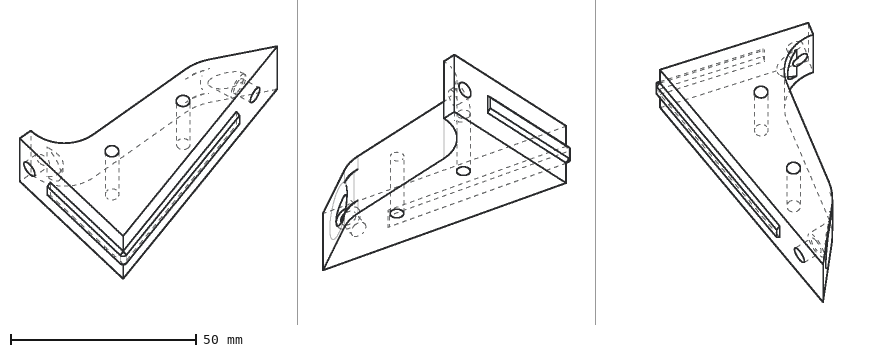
import cadquery as cq
import math

thickness = 20.0
base_length = 42.7
rib_height = 1.0
apex_x = 22.45
apex_y = 73.6 - rib_height
foot_height = 4.0
cove_radius = 12.0
wall_x = cove_radius
tip_angle = 27.5
bend_radius = 15.0
inner_bend_radius = 8.8
inner_bend_width = 10.9

rib_width = 6.0
rib_start_x = 12.7
rib_top_y = 53.3

cross_hole_diameter = 3.7
cross_hole_x = 19.5
cross_hole_heights = (16.05, 41.45)
screw_diameter = 4.6
foot_hole_x = 4.05

foot_seat_y = 5.15
foot_dome_radius = 7.9
foot_dome_center_y = 1.6

seat_radius = 3.7
seat_x = 20.1
seat_y = 60.6
dish_center_y = 60.4
dish_radius = 7.9
dish_depth = 1.2

tip_slope = math.tan(math.radians(tip_angle))
bend_y = apex_y - (apex_x - wall_x) / tip_slope
front_length = math.hypot(base_length - apex_x, apex_y)
front_angle = math.degrees(math.atan2(base_length - apex_x, apex_y))
front_normal = cq.Vector(apex_y / front_length, (base_length - apex_x) / front_length, 0)
reach = 73.6


def wedge(radius, depth):
    """Wedge slab with the given round at the rear bend."""
    cove_mid = cove_radius * math.sqrt(0.5)
    return (
        cq.Workplane("XY")
        .moveTo(0, 0)
        .lineTo(base_length, 0)
        .lineTo(apex_x, apex_y)
        .lineTo(wall_x, bend_y)
        .lineTo(wall_x, foot_height + cove_radius)
        .threePointArc((cove_mid, foot_height + cove_radius - cove_mid), (0, foot_height))
        .close()
        .extrude(depth / 2, both=True)
        .edges(cq.selectors.NearestToPointSelector((wall_x, bend_y, 0)))
        .fillet(radius)
    )


def rib_profile(plane):
    """Trapezoid with 45 degree flanks; local X points out of the face, local Y along Z."""
    root = rib_width / 2
    crest = root - rib_height
    return cq.Workplane(plane).polyline(
        [(0, -root), (rib_height, -crest), (rib_height, crest), (0, root)]
    ).close()


def corner_rib():
    """Rib along the base and the sloping front face, turned around their corner."""
    corner = (base_length, 0, 0)
    base_plane = cq.Plane(origin=corner, xDir=(0, -1, 0), normal=(-1, 0, 0))
    front_direction = cq.Vector(-front_normal.y, front_normal.x, 0)
    front_plane = cq.Plane(origin=corner, xDir=front_normal, normal=front_direction)
    base_rib = rib_profile(base_plane).extrude(base_length - rib_start_x)
    front_rib = rib_profile(front_plane).extrude(rib_top_y / front_direction.y)
    turn = rib_profile(base_plane).revolve(90 + front_angle, (0, 0, 0), (0, 1, 0))
    return base_rib.union(turn).union(front_rib)


def foot_hole():
    """Screw hole through the foot with a domed clearance above its seat."""
    bore = cq.Workplane("XZ", origin=(foot_hole_x, reach / 4, 0)).circle(screw_diameter / 2).extrude(reach / 2)
    above_seat = cq.Workplane("XY").box(reach, reach, reach).translate((0, foot_seat_y + reach / 2, 0))
    dome = cq.Workplane("XY").sphere(foot_dome_radius).translate((foot_hole_x, foot_dome_center_y, 0))
    return bore.union(dome.intersect(above_seat))


def tip_hole():
    """Screw hole square to the front face, with its seat and dish at the rear."""
    seat = cq.Vector(seat_x, seat_y, 0)
    bore = cq.Solid.makeCylinder(screw_diameter / 2, reach, seat, front_normal)
    counterbore = cq.Solid.makeCylinder(seat_radius, reach, seat, -front_normal)
    ball_radius = (dish_radius**2 + dish_depth**2) / (2 * dish_depth)
    dish_center_x = apex_x - (apex_y - dish_center_y) * tip_slope
    offset = ball_radius - dish_depth
    tilt = math.radians(tip_angle)
    ball_center = (dish_center_x - offset * math.cos(tilt), dish_center_y + offset * math.sin(tilt), 0)
    ball = cq.Workplane("XY").sphere(ball_radius).translate(ball_center)
    return ball.union(cq.Workplane(bore)).union(cq.Workplane(counterbore))


cross_holes = (
    cq.Workplane("XY")
    .pushPoints([(cross_hole_x, height) for height in cross_hole_heights])
    .circle(cross_hole_diameter / 2)
    .extrude(thickness, both=True)
)

body = wedge(bend_radius, thickness).union(wedge(inner_bend_radius, inner_bend_width))
result = body.union(corner_rib()).cut(cross_holes).cut(foot_hole()).cut(tip_hole())